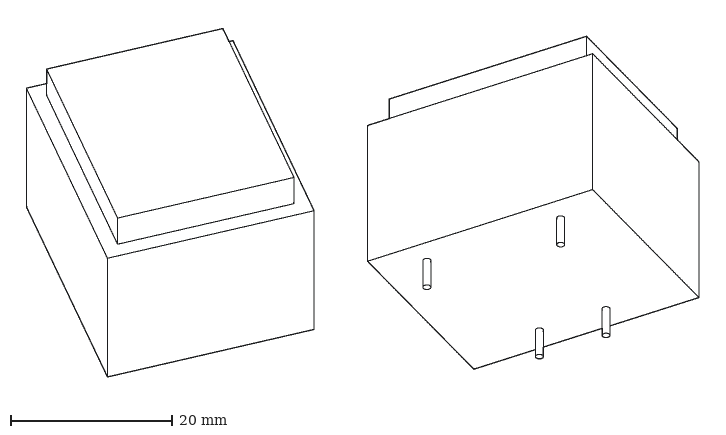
import cadquery as cq

body_length = 32.0
body_width = 27.0
total_height = 29.0

ledge = 2.0
lid_height = 4.5

pin_diameter = 1.0
pin_length = 4.0
row_offset = 10.0
front_pin_offset = 4.75
back_pin_offset = 9.5

body_height = total_height - lid_height - pin_length


def make_body():
    """Rectangular housing standing on Z = 0."""
    return cq.Workplane("XY").box(body_length, body_width, body_height, centered=(True, True, False))


def make_lid():
    """Smaller block on top of the housing."""
    return (
        cq.Workplane("XY")
        .workplane(offset=body_height)
        .rect(body_length - 2 * ledge, body_width - 2 * ledge)
        .extrude(lid_height)
    )


def make_pins():
    """Two round pins in each row, hanging down from the housing."""
    positions = []
    for side in (-1, 1):
        positions.append((side * front_pin_offset, -row_offset))
        positions.append((side * back_pin_offset, row_offset))
    return cq.Workplane("XY").pushPoints(positions).circle(pin_diameter / 2).extrude(-pin_length)


result = make_body().union(make_lid()).union(make_pins())